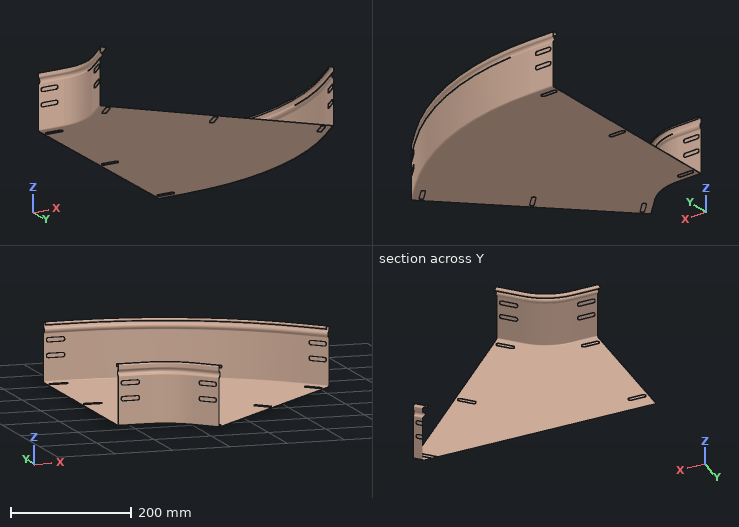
import cadquery as cq
import math


sheet = 0.8
width = 402.54
height = 104.0

bend_angle = 45.0
lead_length = 49.24
inside_radius = 100.0
bend_center = (lead_length, -inside_radius)

bend_radius = 2.85
lip_width = 10.4
curl_radius = 2.8
curl_angle = 135.0

groove_z = 89.3
groove_depth = 3.7
groove_radius = 4.8
groove_entry_radius = 2.9

slot_length = 32.0
slot_width = 7.5
slot_center_x = 21.0
slot_proud = 0.1
wall_slot_heights = (45.8, 72.5)
floor_slot_edge_distance = 16.3
floor_slot_positions = (floor_slot_edge_distance, width / 2, width - floor_slot_edge_distance)


def side_wire():
    """Closed outline of the section from mid-floor up the wall at Y = 0 to the end of the lip."""
    bend_inner = bend_radius - sheet
    top = height - sheet
    curl_inner = curl_radius - sheet
    curl_y = lip_width - curl_radius
    curl_z = height - curl_radius
    curl_sine = math.sin(math.radians(curl_angle))
    curl_cosine = math.cos(math.radians(curl_angle))

    center_distance = groove_radius + groove_entry_radius
    groove_center_y = groove_depth - groove_radius
    half_span = math.sqrt(center_distance**2 - (groove_entry_radius - groove_center_y) ** 2)
    low_z = groove_z - half_span
    high_z = groove_z + half_span

    along_y = (groove_entry_radius - groove_center_y) / center_distance
    along_z = half_span / center_distance
    outer_meet_y = groove_center_y + groove_radius * along_y
    outer_meet_z = groove_radius * along_z
    bead_radius = groove_radius + sheet
    inner_meet_y = groove_center_y + bead_radius * along_y
    inner_meet_z = bead_radius * along_z
    entry_inner = groove_entry_radius - sheet

    return (
        cq.Workplane("YZ")
        .moveTo(width / 2, 0)
        .lineTo(bend_radius, 0)
        .radiusArc((0, bend_radius), bend_radius)
        .lineTo(0, low_z)
        .radiusArc((outer_meet_y, groove_z - outer_meet_z), groove_entry_radius)
        .radiusArc((outer_meet_y, groove_z + outer_meet_z), -groove_radius)
        .radiusArc((0, high_z), groove_entry_radius)
        .lineTo(0, height - bend_radius)
        .radiusArc((bend_radius, height), bend_radius)
        .lineTo(curl_y, height)
        .threePointArc(
            (lip_width, curl_z), (curl_y + curl_radius * curl_sine, curl_z + curl_radius * curl_cosine)
        )
        .lineTo(curl_y + curl_inner * curl_sine, curl_z + curl_inner * curl_cosine)
        .threePointArc((curl_y + curl_inner, curl_z), (curl_y, top))
        .lineTo(bend_radius, top)
        .radiusArc((sheet, height - bend_radius), -bend_inner)
        .lineTo(sheet, high_z)
        .radiusArc((inner_meet_y, groove_z + inner_meet_z), -entry_inner)
        .radiusArc((inner_meet_y, groove_z - inner_meet_z), bead_radius)
        .radiusArc((sheet, low_z), -entry_inner)
        .lineTo(sheet, bend_radius)
        .radiusArc((bend_radius, sheet), -bend_inner)
        .lineTo(width / 2, sheet)
        .close()
        .val()
    )


def section_faces(x):
    """Both halves of the tray section, standing on the plane at this X."""
    near_wire = side_wire()
    far_wire = near_wire.mirror("XZ", (0, width / 2, 0))
    wires = (near_wire, far_wire)
    return [cq.Face.makeFromWires(wire).translate(cq.Vector(x, 0, 0)) for wire in wires]


def straight_lead():
    low, high = [cq.Solid.extrudeLinear(face, cq.Vector(lead_length, 0, 0)) for face in section_faces(0)]
    return cq.Workplane(low).union(cq.Workplane(high))


def curved_run():
    axis_start = cq.Vector(*bend_center, 0)
    axis_end = cq.Vector(*bend_center, -1)
    low, high = [
        cq.Solid.revolve(face, bend_angle, axis_start, axis_end) for face in section_faces(lead_length)
    ]
    return cq.Workplane(low).union(cq.Workplane(high))


def slot_pads():
    """Pads of the near end: three in the floor and two in each wall."""
    pad_thickness = sheet + 2 * slot_proud
    floor_centers = [(slot_center_x, y) for y in floor_slot_positions]
    pads = (
        cq.Workplane("XY", origin=(0, 0, -slot_proud))
        .pushPoints(floor_centers)
        .slot2D(slot_length, slot_width)
        .extrude(pad_thickness)
    )
    wall_centers = [(slot_center_x, z) for z in wall_slot_heights]
    for outer_face_y in (-slot_proud, width - sheet - slot_proud):
        pads = pads.add(
            cq.Workplane("XZ", origin=(0, outer_face_y, 0))
            .pushPoints(wall_centers)
            .slot2D(slot_length, slot_width)
            .extrude(-pad_thickness)
        )
    return pads.combine()


def mirrored_to_far_end(body):
    """Mirror a body about the upright plane that halves the bend."""
    half_angle = math.radians(bend_angle / 2)
    normal = cq.Vector(math.cos(half_angle), -math.sin(half_angle), 0)
    return body.mirror(normal, (*bend_center, 0))


near_end = straight_lead().union(slot_pads())
result = near_end.union(curved_run()).union(mirrored_to_far_end(near_end))